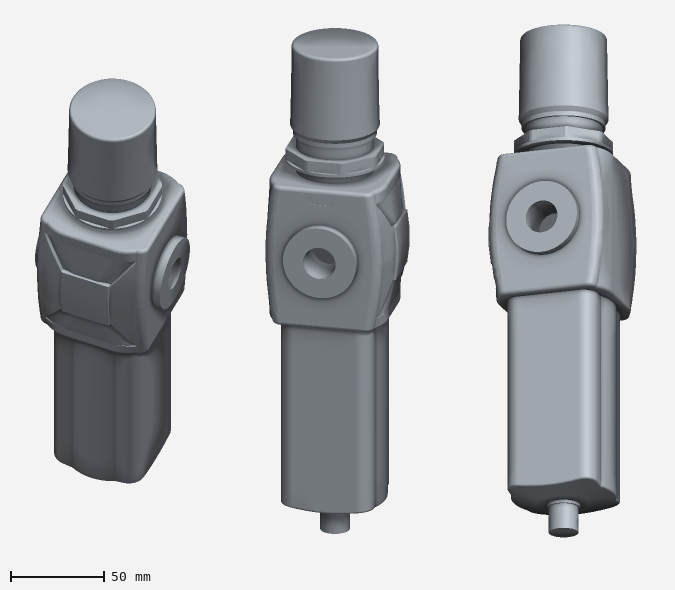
import cadquery as cq
import math


housing_width = 63.0
housing_height = 80.0
housing_half_depth = 32.2
front_crown = 36.4
end_band_height = 7.0
centre_half_width = 14.0
corner_start = 26.3
corner_end_depth = 29.0
front_corner_mid_depth = 32.7
back_corner_mid_depth = 32.0
corner_rim_depth = 27.7
front_mid_sag = 0.05
corner_drop = 5.0
rim_fillet = 2.0

pad_half_height = 15.0
pad_front = 38.0
pad_edge_front = 36.5
recess_inner_half_width = 7.3
recess_inner_depth = 35.2
recess_side_depth = 34.0
recess_corner_depth = 28.0
ridge_chamfer = 0.8
recess_gutter = 0.34
pad_fillet = 0.8

port_span = 73.0
port_diameter = 40.0
port_bore_diameter = 18.0
port_bore_depth = 22.5

label_length = 14.5
label_height = 6.0
label_depth = 0.3
label_level = 34.5

neck_diameter = 42.0
neck_top = 61.2
nut_flats = 49.8
nut_sides = 8
nut_bottom = 47.5
nut_top = 53.7
washer_diameter = 53.0
washer_thickness = 1.7

knob_top = 112.7
knob_top_diameter = 46.5
knob_base_diameter = 48.0
knob_collar_diameter = 45.0
knob_base_level = 66.3
knob_collar_level = 63.8
knob_fillet = 1.7

bowl_width = 51.7
bowl_depth = 50.5
bowl_corner_radius = 8.0
bowl_round_diameter = 56.5
bowl_bottom = -151.3
bowl_floor_diameter = 28.8
bowl_cone_angle = 15.0
bowl_edge_fillet = 1.0
drain_collar_diameter = 18.0
drain_collar_length = 1.7
drain_diameter = 16.0
drain_bottom = -167.0

half_width = housing_width / 2
housing_top = housing_height / 2
band_level = housing_top - end_band_height
far = 56.0


def shoulder_sag(drop):
    """Rise above its chord of an arc that leaves the flat strip tangentially and falls by drop."""
    run = corner_start - centre_half_width
    return math.hypot(run, drop) / 2 * math.tan(math.atan2(drop, run) / 2)


def housing_section(level, front, front_corner, front_sag, back_corner):
    """Closed outline of the housing at one level, from the Y distances of its strips and corners."""
    arc_share = 1 - math.sqrt(0.5)
    arc_drop = corner_drop * arc_share
    arc_x = half_width - (half_width - corner_start) * arc_share
    shoulder_x = (centre_half_width + corner_start) / 2
    front_y = (front + front_corner) / 2 + front_sag
    back_y = (housing_half_depth + back_corner) / 2 + shoulder_sag(housing_half_depth - back_corner)
    return (
        cq.Workplane("XY", origin=(0, 0, level))
        .moveTo(-centre_half_width, -front)
        .lineTo(centre_half_width, -front)
        .threePointArc((shoulder_x, -front_y), (corner_start, -front_corner))
        .threePointArc((arc_x, arc_drop - front_corner), (half_width, corner_drop - front_corner))
        .lineTo(half_width, back_corner - corner_drop)
        .threePointArc((arc_x, back_corner - arc_drop), (corner_start, back_corner))
        .threePointArc((shoulder_x, back_y), (centre_half_width, housing_half_depth))
        .lineTo(-centre_half_width, housing_half_depth)
        .threePointArc((-shoulder_x, back_y), (-corner_start, back_corner))
        .threePointArc((-arc_x, back_corner - arc_drop), (-half_width, back_corner - corner_drop))
        .lineTo(-half_width, corner_drop - front_corner)
        .threePointArc((-arc_x, arc_drop - front_corner), (-corner_start, -front_corner))
        .threePointArc((-shoulder_x, -front_y), (-centre_half_width, -front))
        .close()
        .wires()
        .val()
    )


def end_section(level, corner):
    """Housing outline near an end, the same at the front and the back."""
    sag = shoulder_sag(housing_half_depth - corner)
    return housing_section(level, housing_half_depth, corner, sag, corner)


def housing_middle():
    """Bulging block between the two end bands."""
    sections = [
        end_section(-band_level, corner_end_depth),
        housing_section(0, front_crown, front_corner_mid_depth, front_mid_sag, back_corner_mid_depth),
        end_section(band_level, corner_end_depth),
    ]
    return cq.Workplane(cq.Solid.makeLoft(sections))


def end_band():
    """Band on top of the bulging block, rounded around its rim."""
    sections = [end_section(band_level, corner_end_depth), end_section(housing_top, corner_rim_depth)]
    return cq.Workplane(cq.Solid.makeLoft(sections, True)).faces(">Z").edges().fillet(rim_fillet)


def recess_section(level, inner, inner_depth, outer, outer_depth, sag):
    """Outline of the space in front of a recess floor at one level."""
    mid_x = (inner + outer) / 2
    mid_y = (inner_depth + outer_depth) / 2 + sag
    return (
        cq.Workplane("XY", origin=(0, 0, level))
        .moveTo(-outer, -outer_depth)
        .threePointArc((-mid_x, -mid_y), (-inner, -inner_depth))
        .lineTo(inner, -inner_depth)
        .threePointArc((mid_x, -mid_y), (outer, -outer_depth))
        .lineTo(outer, -far)
        .lineTo(-outer, -far)
        .close()
        .wires()
        .val()
    )


def front_recess():
    """Cutter for the sloping recess that narrows from the top band to the pad."""
    wide = recess_section(
        band_level,
        centre_half_width,
        housing_half_depth,
        corner_start,
        recess_corner_depth,
        shoulder_sag(housing_half_depth - recess_corner_depth),
    )
    narrow = recess_section(
        pad_half_height,
        recess_inner_half_width,
        recess_inner_depth,
        centre_half_width,
        recess_side_depth,
        -recess_gutter,
    )
    return cq.Workplane(cq.Solid.makeLoft([wide, narrow], True))


def chamfer_ridges(body):
    """Bevel the four ridges that run from the housing corners to the pad corners."""
    ridges = []
    for level in (-band_level, band_level):
        for x in (-corner_start, corner_start):
            pad_end_x = math.copysign(centre_half_width, x)
            pad_end_z = math.copysign(pad_half_height, level)
            middle = ((x + pad_end_x) / 2, -front_crown, (level + pad_end_z) / 2)
            ridges += body.edges(cq.selectors.NearestToPointSelector(middle)).vals()
    return body.newObject(ridges).chamfer(ridge_chamfer)


def front_pad():
    """Raised pad with a front face that curves about X."""
    return (
        cq.Workplane("YZ", origin=(-centre_half_width, 0, 0))
        .moveTo(0, -pad_half_height)
        .lineTo(-pad_edge_front, -pad_half_height)
        .threePointArc((-pad_front, 0), (-pad_edge_front, pad_half_height))
        .lineTo(0, pad_half_height)
        .close()
        .extrude(2 * centre_half_width)
        .faces("<X or >X")
        .edges("<Y")
        .fillet(pad_fillet)
    )


def port_bore(side):
    """Blind bore from one port face; side is -1 or +1 along X."""
    face = cq.Workplane("YZ", origin=(side * port_span / 2, 0, 0))
    return face.circle(port_bore_diameter / 2).extrude(-side * port_bore_depth)


def label_recess():
    """Shallow slot on the inlet side above the port."""
    face = cq.Workplane("YZ", origin=(-half_width, 0, label_level))
    return face.slot2D(label_length, label_height).extrude(label_depth)


def neck_and_nut():
    """Neck with its washer and nut."""
    neck = cq.Workplane("XY", origin=(0, 0, housing_top)).circle(neck_diameter / 2)
    neck = neck.extrude(neck_top - housing_top)
    washer = cq.Workplane("XY", origin=(0, 0, nut_bottom)).circle(washer_diameter / 2)
    washer = washer.extrude(-washer_thickness)
    flats = (
        cq.Workplane("XY", origin=(0, 0, nut_bottom))
        .polygon(nut_sides, nut_flats, circumscribed=True)
        .extrude(nut_top - nut_bottom)
    )
    rounding = cq.Workplane("XY", origin=(0, 0, nut_bottom)).circle(washer_diameter / 2)
    nut = flats.intersect(rounding.extrude(nut_top - nut_bottom))
    return neck.union(washer).union(nut)


def make_housing():
    """Housing with its ports, pad, neck and nut."""
    recess = front_recess()
    band = end_band()
    body = housing_middle().cut(recess).cut(recess.mirror("XY"))
    body = chamfer_ridges(body)
    body = body.union(band).union(band.mirror("XY")).union(front_pad())
    ports = cq.Workplane("YZ", origin=(-port_span / 2, 0, 0)).circle(port_diameter / 2).extrude(port_span)
    body = body.union(ports).union(neck_and_nut()).cut(label_recess())
    for side in (-1, 1):
        body = body.cut(port_bore(side))
    return body


def make_knob():
    """Tapered knob with a collar at its base."""
    return (
        cq.Workplane("XZ")
        .moveTo(0, neck_top)
        .lineTo(knob_collar_diameter / 2, neck_top)
        .lineTo(knob_collar_diameter / 2, knob_collar_level)
        .lineTo(knob_base_diameter / 2, knob_base_level)
        .lineTo(knob_top_diameter / 2, knob_top)
        .lineTo(0, knob_top)
        .close()
        .revolve(360, (0, 0, 0), (0, 1, 0))
        .faces(">Z")
        .edges()
        .fillet(knob_fillet)
    )


def make_bowl():
    """Bowl with a coned bottom and a drain stub."""
    length = -housing_top - bowl_bottom
    start = cq.Workplane("XY", origin=(0, 0, bowl_bottom))
    bowl = start.rect(bowl_width, bowl_depth).extrude(length).edges("|Z").fillet(bowl_corner_radius)
    width_limit = start.rect(bowl_width, 2 * far).extrude(length)
    round_core = start.circle(bowl_round_diameter / 2).extrude(length)
    bowl = bowl.union(round_core.intersect(width_limit))
    cone_rise = (far - bowl_floor_diameter / 2) * math.tan(math.radians(bowl_cone_angle))
    envelope = (
        cq.Workplane("XZ")
        .moveTo(0, bowl_bottom)
        .lineTo(bowl_floor_diameter / 2, bowl_bottom)
        .lineTo(far, bowl_bottom + cone_rise)
        .lineTo(far, -housing_top)
        .lineTo(0, -housing_top)
        .close()
        .revolve(360, (0, 0, 0), (0, 1, 0))
    )
    bowl = bowl.intersect(envelope)
    above_floor = cq.selectors.BoxSelector((-far, -far, bowl_bottom + bowl_edge_fillet), (far, far, 0))
    outer_edges = bowl.faces("%CONE").edges(above_floor)
    bowl = outer_edges.fillet(bowl_edge_fillet)
    collar = start.circle(drain_collar_diameter / 2).extrude(-drain_collar_length)
    drain = start.circle(drain_diameter / 2).extrude(drain_bottom - bowl_bottom)
    return bowl.union(collar).union(drain)


housing = make_housing()
knob = make_knob()
bowl = make_bowl()

result = cq.Compound.makeCompound([housing.solids().val(), knob.solids().val(), bowl.solids().val()])